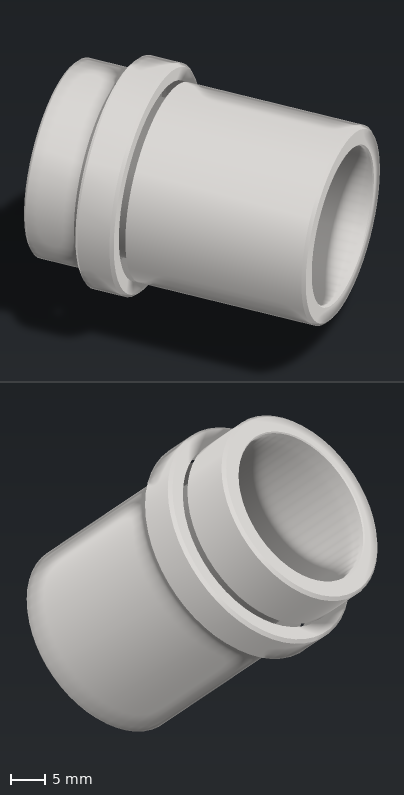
import cadquery as cq

length = 44.0
body_diameter = 30.0
collar_diameter = 35.0
bore_diameter = 24.0
collar_start = 9.0
collar_width = 6.0
edge_chamfer = 0.5
bore_chamfer = 0.18
groove_width = 1.0

body_radius = body_diameter / 2
collar_radius = collar_diameter / 2
collar_end = collar_start + collar_width
groove_radius = groove_width / 2


def cylinder(radius, start, end):
    """Solid cylinder about the X axis between two stations."""
    return cq.Workplane("YZ").workplane(offset=start).circle(radius).extrude(end - start)


def relief_groove(center_x):
    """Ring with a round section, centred on the body surface."""
    return (
        cq.Workplane("XY")
        .center(center_x, body_radius)
        .circle(groove_radius)
        .revolve(360, (0, -body_radius), (1, -body_radius))
    )


body = cylinder(body_radius, 0, length).faces("<X or >X").chamfer(edge_chamfer)
collar = cylinder(collar_radius, collar_start, collar_end).faces("<X or >X").chamfer(edge_chamfer)

body = body.cut(relief_groove(collar_start - groove_radius))
body = body.cut(relief_groove(collar_end + groove_radius))

bore = cylinder(bore_diameter / 2, 0, length)
result = body.union(collar).cut(bore)
result = result.faces("<X or >X").edges("%CIRCLE").edges(
    cq.selectors.RadiusNthSelector(0)
).chamfer(bore_chamfer)